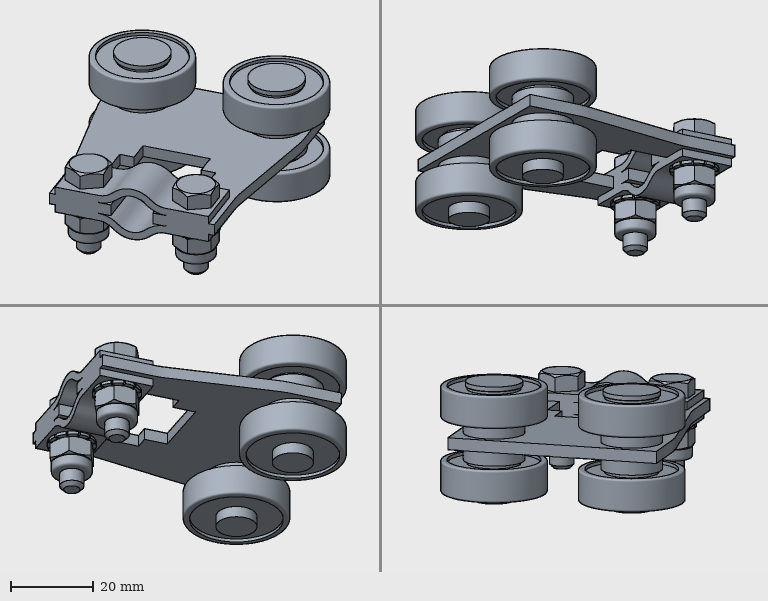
import cadquery as cq
import math


plate_thickness = 3.0
plate_length = 61.0
clamp_end_width = 43.0
wheel_end_width = 53.0
taper_start_y = 15.0
taper_end_y = 46.0
taper_blend_radius = 20.0

wide_opening_width = 25.0
wide_opening_end_y = 24.0
narrow_opening_width = 17.5
narrow_opening_end_y = 30.0
mouth_width = 11.0

wheel_diameter = 26.0
wheel_width = 8.0
wheel_edge_radius = 0.5
wheel_recess_diameter = 22.8
wheel_recess_depth = 0.85
wheel_spacing = 35.0
wheel_center_y = 52.0
spacer_diameter = 15.0
spacer_length = 3.75
axle_head_diameter = 14.0
axle_head_projection = 1.1
axle_head_thickness = 1.2
axle_neck_diameter = 13.2
axle_tail_diameter = 10.0
axle_tail_projection = 2.0

strap_thickness = 2.0
strap_width = 40.0
strap_length = 14.0
bulge_width = 17.5
bulge_crown_radius = 7.0
bulge_root_radius = 5.3

bolt_spacing = 28.0
bolt_diameter = 6.0
bolt_length = 20.0
bolt_tip_chamfer = 1.0
hex_sides = 6
hex_across_flats = 10.0
hex_bevel_angle = 30.0
hex_face_diameter = 9.5
bolt_head_height = 4.15
washer_diameter = 12.0
washer_thickness = 0.8
washer_slot_count = 12
washer_slot_width = 0.4
washer_slot_depth = 1.5
washer_slot_angle = 25.0
nut_height = 7.9
nut_hex_height = 5.0
nut_collar_diameter = 10.0
nut_collar_radius = 0.7

plate_top = plate_thickness / 2
strap_top = plate_top + strap_thickness
wheel_inner_z = plate_top + spacer_length
wheel_outer_z = wheel_inner_z + wheel_width
bolt_y = strap_length / 2
mouth_length = strap_length


def cylinder(diameter, z_start, z_end):
    """Cylinder on the Z axis between two heights."""
    return cq.Workplane("XY").workplane(offset=z_start).circle(diameter / 2).extrude(z_end - z_start)


def block(width, y_start, y_end):
    """Block centred on X, as thick as the plate."""
    return cq.Workplane("XY").box(width, y_end - y_start, plate_thickness).translate(
        (0, (y_start + y_end) / 2, 0)
    )


def make_plate():
    """Tapered plate with blended corners and a stepped opening."""
    half_clamp_end = clamp_end_width / 2
    half_wheel_end = wheel_end_width / 2
    outline = [
        (-half_clamp_end, 0),
        (half_clamp_end, 0),
        (half_clamp_end, taper_start_y),
        (half_wheel_end, taper_end_y),
        (half_wheel_end, plate_length),
        (-half_wheel_end, plate_length),
        (-half_wheel_end, taper_end_y),
        (-half_clamp_end, taper_start_y),
    ]
    plate = cq.Workplane("XY").polyline(outline).close().extrude(plate_thickness)
    plate = plate.translate((0, 0, -plate_thickness / 2))
    taper_corners = cq.selectors.BoxSelector(
        (-wheel_end_width, taper_start_y / 2, -plate_thickness),
        (wheel_end_width, (taper_end_y + plate_length) / 2, plate_thickness),
    )
    plate = plate.edges("|Z").edges(taper_corners).fillet(taper_blend_radius)
    plate = plate.cut(block(mouth_width, 0, mouth_length))
    plate = plate.cut(block(wide_opening_width, mouth_length, wide_opening_end_y))
    return plate.cut(block(narrow_opening_width, mouth_length, narrow_opening_end_y))


def make_wheel():
    """Wheel above the plate, recessed on both sides."""
    wheel = cylinder(wheel_diameter, wheel_inner_z, wheel_outer_z)
    wheel = wheel.edges().fillet(wheel_edge_radius)
    wheel = wheel.cut(cylinder(wheel_recess_diameter, wheel_outer_z - wheel_recess_depth, wheel_outer_z))
    return wheel.cut(cylinder(wheel_recess_diameter, wheel_inner_z, wheel_inner_z + wheel_recess_depth))


def make_wheel_pair():
    """Upper and lower wheel on one headed axle, whose neck bridges the wheel recesses."""
    upper_wheel = make_wheel()
    lower_wheel = upper_wheel.mirror("XY")
    spacer = cylinder(spacer_diameter, -wheel_inner_z, wheel_inner_z)
    head_top = wheel_outer_z + axle_head_projection
    head = cylinder(axle_head_diameter, head_top - axle_head_thickness, head_top)
    neck = cylinder(axle_neck_diameter, -wheel_outer_z + wheel_recess_depth, head_top)
    tail = cylinder(axle_tail_diameter, -wheel_outer_z - axle_tail_projection, 0)
    return upper_wheel.union(lower_wheel).union(spacer).union(head).union(neck).union(tail)


def make_upper_strap():
    """Strap with a bulge across its middle: a crown arc about the Y axis and two root arcs."""
    half_width = strap_width / 2
    root_center_x = -bulge_width / 2
    root_center_z = strap_top + bulge_root_radius

    radius_sum = bulge_root_radius + bulge_crown_radius
    center_distance = math.hypot(root_center_x, root_center_z)
    angle = math.atan2(-root_center_x, root_center_z) - math.acos(radius_sum / center_distance)

    def left_surface(root_radius, crown_radius):
        """Points of the left half of one surface, from the flat up to the crown."""

        def root_point(turn):
            return (
                root_center_x + root_radius * math.sin(turn),
                root_center_z - root_radius * math.cos(turn),
            )

        crown_start = (-crown_radius * math.sin(angle), crown_radius * math.cos(angle))
        crown_top = (0, crown_radius)
        return root_point(0), root_point(angle / 2), root_point(angle), crown_start, crown_top

    def mirrored(point):
        return (-point[0], point[1])

    start, middle, root, crown, top = left_surface(bulge_root_radius, bulge_crown_radius)
    profile = (
        cq.Workplane("XZ")
        .moveTo(-half_width, plate_top)
        .lineTo(-half_width, strap_top)
        .lineTo(*start)
        .threePointArc(middle, root)
        .lineTo(*crown)
        .threePointArc(top, mirrored(crown))
        .lineTo(*mirrored(root))
        .threePointArc(mirrored(middle), mirrored(start))
        .lineTo(half_width, strap_top)
        .lineTo(half_width, plate_top)
    )
    start, middle, root, crown, top = left_surface(
        bulge_root_radius + strap_thickness, bulge_crown_radius - strap_thickness
    )
    profile = (
        profile.lineTo(*mirrored(start))
        .threePointArc(mirrored(middle), mirrored(root))
        .lineTo(*mirrored(crown))
        .threePointArc(top, crown)
        .lineTo(*root)
        .threePointArc(middle, start)
        .close()
    )
    return profile.extrude(-strap_length)


def hexagon(z_start, z_end, bevel_bottom, bevel_top):
    """Hexagonal prism with flats facing X and its corners bevelled at the chosen ends."""
    corner_diameter = hex_across_flats / math.cos(math.pi / hex_sides)
    corner_radius = corner_diameter / 2
    face_radius = hex_face_diameter / 2
    bevel_height = (corner_radius - face_radius) * math.tan(math.radians(hex_bevel_angle))
    base = cq.Workplane("XY").workplane(offset=z_start)
    prism = base.polygon(hex_sides, corner_diameter).extrude(z_end - z_start)
    prism = prism.rotate((0, 0, 0), (0, 0, 1), 180 / hex_sides)
    envelope = cylinder(corner_diameter, z_start, z_end)
    if bevel_bottom:
        envelope = envelope.faces("<Z").chamfer(bevel_height, corner_radius - face_radius)
    if bevel_top:
        envelope = envelope.faces(">Z").chamfer(bevel_height, corner_radius - face_radius)
    return prism.intersect(envelope)


def make_washer():
    """Lock washer under the lower strap, with narrow slots around its rim."""
    bottom = -strap_top - washer_thickness
    washer = cylinder(washer_diameter, bottom, -strap_top)
    slots = (
        cq.Workplane("XY")
        .workplane(offset=bottom)
        .transformed(rotate=(0, 0, washer_slot_angle))
        .polarArray(washer_diameter / 2, 0, 360, washer_slot_count)
        .rect(2 * washer_slot_depth, washer_slot_width)
        .extrude(washer_thickness)
    )
    return washer.cut(slots)


def make_bolt_set():
    """Bolt through plate and straps, with washer and collared lock nut below."""
    head = hexagon(strap_top, strap_top + bolt_head_height, False, True)
    shank = cylinder(bolt_diameter, strap_top - bolt_length, strap_top)
    shank = shank.faces("<Z").chamfer(bolt_tip_chamfer)
    nut_top = -strap_top - washer_thickness
    nut_hex = hexagon(nut_top - nut_hex_height, nut_top, True, True)
    collar = cylinder(nut_collar_diameter, nut_top - nut_height, nut_top - nut_hex_height)
    collar = collar.faces("<Z").edges().fillet(nut_collar_radius)
    return head.union(shank).union(make_washer()).union(nut_hex).union(collar)


upper_strap = make_upper_strap()
result = make_plate().union(upper_strap).union(upper_strap.mirror("XY"))

wheel_pair = make_wheel_pair()
bolt_set = make_bolt_set()
for side in (-1, 1):
    result = result.union(wheel_pair.translate((side * wheel_spacing / 2, wheel_center_y, 0)))
    result = result.union(bolt_set.translate((side * bolt_spacing / 2, bolt_y, 0)))